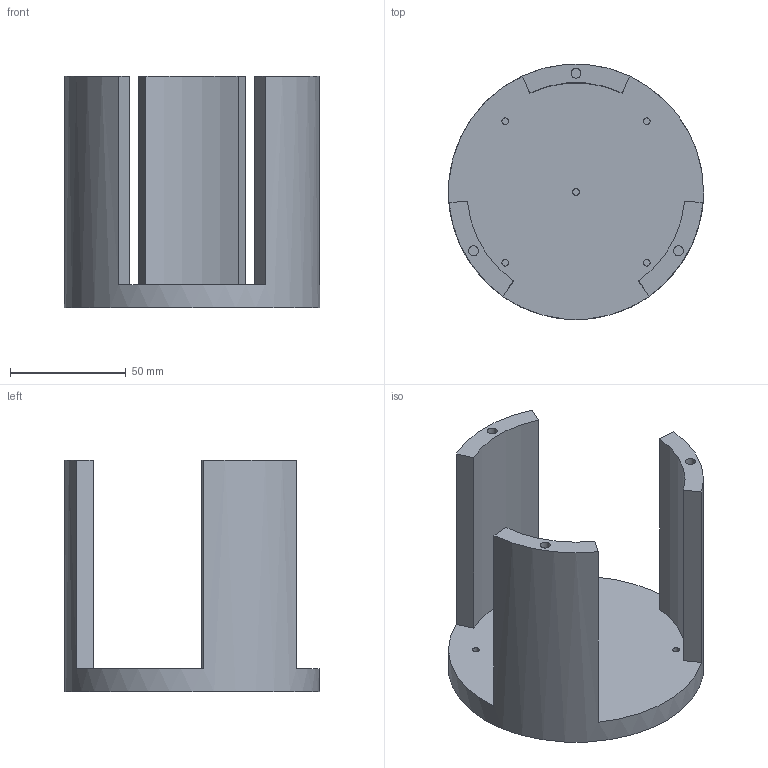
import cadquery as cq
import math

outer_diameter = 110.0
total_height = 100.0
base_thickness = 10.0

wall_thickness = 8.0
wall_count = 3
wall_span = 50.0
first_wall_angle = 90.0

wall_hole_diameter = 4.3
wall_hole_depth = 20.0
base_hole_diameter = 2.9
base_hole_depth = 5.0
base_hole_spacing = 61.0

outer_radius = outer_diameter / 2
inner_radius = outer_radius - wall_thickness
wall_hole_radius = outer_radius - wall_thickness / 2
gap_reach = outer_diameter
wall_pitch = 360.0 / wall_count
wall_angles = [first_wall_angle + i * wall_pitch for i in range(wall_count)]


def polar(radius, angle):
    """Return the XY point at a radius and an angle in degrees."""
    return (radius * math.cos(math.radians(angle)), radius * math.sin(math.radians(angle)))


def make_cylinder():
    """Full-height round blank with its bottom on Z = 0."""
    return cq.Workplane("XY").circle(outer_radius).extrude(total_height)


def make_bore():
    """Round space inside the walls, above the base."""
    return (
        cq.Workplane("XY", origin=(0, 0, base_thickness))
        .circle(inner_radius)
        .extrude(total_height - base_thickness)
    )


def make_gap(angle):
    """Wedge above the base that opens the gap after the wall at this angle."""
    start = angle + wall_span / 2
    end = angle + wall_pitch - wall_span / 2
    middle = (start + end) / 2
    return (
        cq.Workplane("XY", origin=(0, 0, base_thickness))
        .lineTo(*polar(gap_reach, start))
        .threePointArc(polar(gap_reach, middle), polar(gap_reach, end))
        .close()
        .extrude(total_height - base_thickness)
    )


def make_wall_holes():
    """Blind holes going down from the top face of each wall."""
    return (
        cq.Workplane("XY", origin=(0, 0, total_height))
        .pushPoints([polar(wall_hole_radius, angle) for angle in wall_angles])
        .circle(wall_hole_diameter / 2)
        .extrude(-wall_hole_depth)
    )


def make_base_holes():
    """Blind holes in the top face of the base: one at the centre and four on a square."""
    offset = base_hole_spacing / 2
    corners = [(x, y) for x in (-offset, offset) for y in (-offset, offset)]
    return (
        cq.Workplane("XY", origin=(0, 0, base_thickness))
        .pushPoints([(0, 0)] + corners)
        .circle(base_hole_diameter / 2)
        .extrude(-base_hole_depth)
    )


body = make_cylinder().cut(make_bore())
for wall_angle in wall_angles:
    body = body.cut(make_gap(wall_angle))

result = body.cut(make_wall_holes()).cut(make_base_holes())